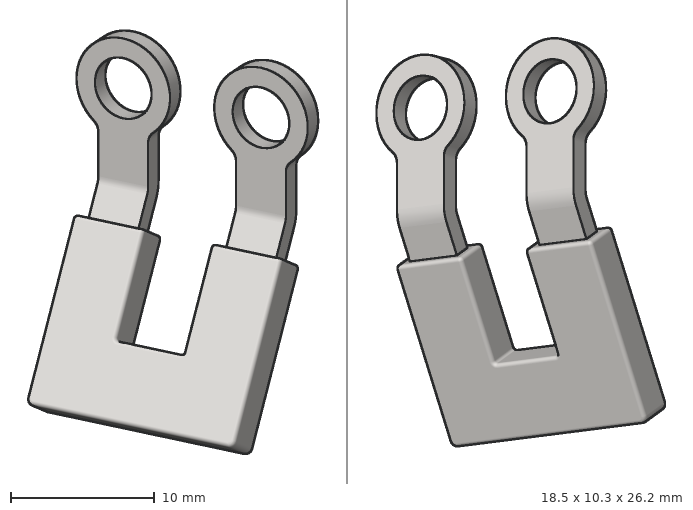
import cadquery as cq
import math

terminal_pitch = 11.0
terminal_thickness = 1.5
ring_diameter = 7.48
hole_diameter = 4.52
shank_width = 4.0
neck_radius = 1.0
ring_height = 7.0

bend_angle = 30.0
bend_inner_radius = 1.0
tail_length = 2.5

leg_width = 5.62
body_thickness = 3.02
slot_depth = 8.0
bridge_height = 5.65
corner_radius = 0.5
slot_corner_radius = 0.2
edge_radius = 0.3

body_width = terminal_pitch + leg_width
body_length = slot_depth + bridge_height
slot_width = terminal_pitch - leg_width

bend_mid_radius = bend_inner_radius + terminal_thickness / 2
bend_radians = math.radians(bend_angle)
bend_end_y = -bend_mid_radius * (1 - math.cos(bend_radians))
bend_end_z = -bend_mid_radius * math.sin(bend_radians)

slope_plane = cq.Plane(
    origin=(0, bend_end_y, bend_end_z),
    xDir=(-1, 0, 0),
    normal=(0, math.cos(bend_radians), -math.sin(bend_radians)),
)


def sloped_block(width, thickness, start, length):
    """Box centred on the sloping mid-plane, starting a given distance down the slope."""
    return (
        cq.Workplane(slope_plane)
        .center(0, -start - length / 2)
        .box(width, length, thickness)
    )


def make_terminal():
    """Ring, shank with filleted neck, bend and sloping tail, centred on X = 0."""
    flat = cq.Workplane("XZ").center(0, ring_height).circle(ring_diameter / 2)
    flat = flat.extrude(terminal_thickness / 2, both=True)
    shank = cq.Workplane("XY").box(
        shank_width, terminal_thickness, ring_height, centered=(True, True, False)
    )
    neck_corners = cq.selectors.BoxSelector(
        (-shank_width, -terminal_thickness, neck_radius),
        (shank_width, terminal_thickness, ring_height - neck_radius),
    )
    flat = flat.union(shank).edges("|Y").edges(neck_corners).fillet(neck_radius)
    hole = cq.Workplane("XZ").center(0, ring_height).circle(hole_diameter / 2)
    flat = flat.cut(hole.extrude(terminal_thickness, both=True))

    bend = (
        cq.Workplane("XY")
        .rect(shank_width, terminal_thickness)
        .revolve(bend_angle, (0, -bend_mid_radius, 0), (-1, -bend_mid_radius, 0))
    )
    tail = sloped_block(shank_width, terminal_thickness, 0, tail_length)
    return flat.union(bend).union(tail)


def make_body():
    """Sloping U-shaped block with rounded corners and rounded outer edges."""
    block = sloped_block(body_width, body_thickness, tail_length, body_length)
    slot = sloped_block(slot_width, body_thickness, tail_length, slot_depth)
    across_thickness = cq.selectors.ParallelDirSelector(slope_plane.zDir)
    lowest = cq.selectors.DirectionMinMaxSelector(slope_plane.yDir, False)
    block = block.faces(lowest).edges(across_thickness).fillet(corner_radius)
    slot = slot.faces(lowest).edges(across_thickness).fillet(slot_corner_radius)
    return block.cut(slot).edges().fillet(edge_radius)


terminal = make_terminal()
result = make_body()
for side in (-1, 1):
    result = result.union(terminal.translate((side * terminal_pitch / 2, 0, 0)))